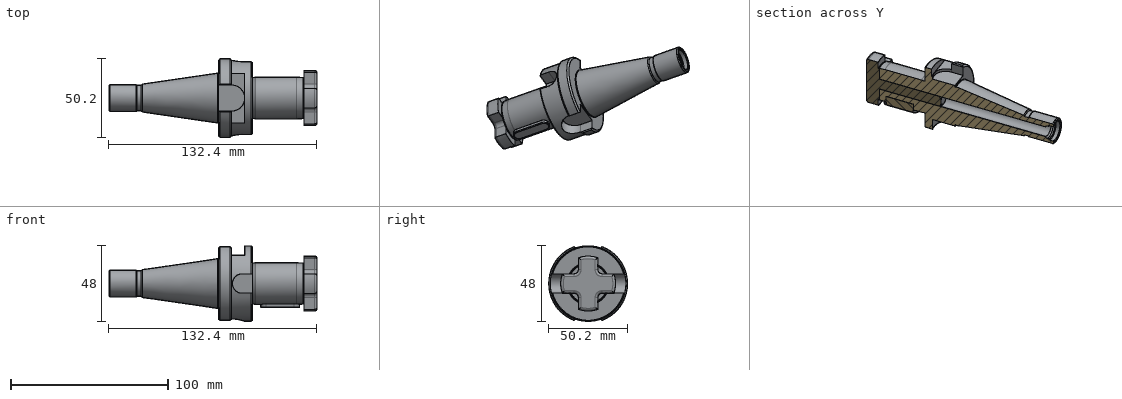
import cadquery as cq
import math


total_length = 132.4
neck_start = 17.3
taper_start = 21.2
taper_end = 69.0
flange_start = 69.6
flange_end = 78.0
collar_end = 91.1
spigot_lead_start = 119.2
spigot_end = 123.4
head_start = 123.9

shank_radius = 8.6
neck_radius = 8.2
taper_slope = 7 / 24
taper_radius = 15.9
gauge_groove_radius = 15.4
flange_radius = 50.2 / 2
collar_radius = 48.0 / 2
spigot_radius = 13.4
spigot_end_radius = 13.1
relief_radius = 13.1
edge_break = 0.7
flange_edge = flange_radius - collar_radius

relief_flat_end = 92.2
relief_end = 93.2

mouth_radius = 7.0
entry_radius = 6.5
throat_radius = 6.0
bore_radius = 5.0
entry_depth = 3.2
throat_start = 3.7
throat_end = 4.9
core_start = 6.0

drive_slot_width = 16.5
drive_slot_floor = 16.2
drive_slot_edge = 0.9
pocket_floor = 18.1
pocket_end = flange_end + drive_slot_width / 2

cutter_slot_width = 12.3
cutter_slot_start = 78.5
cutter_slot_floor = 14.0

key_start = 96.4
key_end = 121.3
key_width = 7.0
key_top = 8.5
key_bottom = 15.4
key_edge = 0.5

head_radius = 17.5
wing_width = 12.5
wing_corner_radius = 2.6
head_edge_radius = 1.7
boss_radius = 12.6
screw_end = 79.5
screw_end_chamfer = 1.2


def revolve_about_x(profile):
    """Solid of revolution from (x, radius) points, closed along the axis."""
    points = [(profile[0][0], 0), *profile, (profile[-1][0], 0)]
    return cq.Workplane("XY").polyline(points).close().revolve(360, (0, 0), (1, 0))


def arbor_blank():
    """Turned outside of the arbor: shank, taper, flange, collar and spigot."""
    taper_start_radius = taper_radius - taper_slope / 2 * (taper_end - taper_start)
    return revolve_about_x([
        (0, shank_radius - edge_break),
        (edge_break, shank_radius),
        (neck_start, shank_radius),
        (neck_start + shank_radius - neck_radius, neck_radius),
        (taper_start - edge_break, neck_radius),
        (taper_start, taper_start_radius),
        (taper_end, taper_radius),
        (taper_end, gauge_groove_radius),
        (flange_start, gauge_groove_radius),
        (flange_start, flange_radius - flange_edge),
        (flange_start + flange_edge, flange_radius),
        (flange_end - flange_edge, flange_radius),
        (flange_end, collar_radius),
        (collar_end - edge_break, collar_radius),
        (collar_end, collar_radius - edge_break),
        (collar_end, relief_radius),
        (relief_flat_end, relief_radius),
        (relief_end, spigot_radius),
        (spigot_lead_start, spigot_radius),
        (spigot_end, spigot_end_radius),
    ])


def arbor_bore():
    """Through bore with a wider stepped entry at the shank end."""
    mouth_depth = mouth_radius - entry_radius
    return revolve_about_x([
        (0, mouth_radius),
        (mouth_depth, entry_radius),
        (entry_depth, entry_radius),
        (throat_start, throat_radius),
        (throat_end, throat_radius),
        (core_start, bore_radius),
        (spigot_end, bore_radius),
    ])


def drive_slot():
    """Upper drive slot: round inner end and chamfered side edges at the rim."""
    half_width = drive_slot_width / 2
    slot = (
        cq.Workplane("XY", origin=(0, 0, drive_slot_floor))
        .moveTo(flange_start, -half_width)
        .lineTo(flange_end, -half_width)
        .threePointArc((pocket_end, 0), (flange_end, half_width))
        .lineTo(flange_start, half_width)
        .close()
        .extrude(flange_radius - drive_slot_floor)
    )
    rim_height = math.sqrt(flange_radius**2 - half_width**2)
    flare = flange_radius - rim_height + drive_slot_edge
    edge_prism = (
        cq.Workplane("YZ", origin=(flange_start, 0, 0))
        .moveTo(-half_width, rim_height - drive_slot_edge)
        .lineTo(half_width, rim_height - drive_slot_edge)
        .lineTo(half_width + flare, flange_radius)
        .lineTo(-half_width - flare, flange_radius)
        .close()
        .extrude(flange_end - flange_start)
    )
    return slot.union(edge_prism)


def pocket():
    """Flat pocket across the top of the collar, behind the flange."""
    return cq.Workplane("XY", origin=(flange_end, 0, pocket_floor)).box(
        pocket_end - flange_end,
        2 * collar_radius,
        collar_radius - pocket_floor,
        centered=(False, True, False),
    )


def cutter_slot():
    """Cutter slot on the -Y side of the collar, with a round inner end."""
    half_width = cutter_slot_width / 2
    return (
        cq.Workplane("XZ", origin=(0, -cutter_slot_floor, 0))
        .moveTo(collar_end, -half_width)
        .lineTo(cutter_slot_start + half_width, -half_width)
        .threePointArc((cutter_slot_start, 0), (cutter_slot_start + half_width, half_width))
        .lineTo(collar_end, half_width)
        .close()
        .extrude(flange_radius - cutter_slot_floor)
    )


def make_key():
    """Round-ended key standing out of the underside of the spigot."""
    return (
        cq.Workplane("XY", origin=((key_start + key_end) / 2, 0, -key_bottom))
        .slot2D(key_end - key_start, key_width)
        .extrude(key_bottom - key_top)
        .faces("<Z")
        .chamfer(key_edge)
    )


def make_arbor(key):
    """Tool arbor with its bore, flange slots, collar slots and keyway."""
    arbor = arbor_blank().cut(arbor_bore()).cut(pocket())
    for turn in (0, 180):
        arbor = arbor.cut(drive_slot().rotate((0, 0, 0), (1, 0, 0), turn))
        arbor = arbor.cut(cutter_slot().rotate((0, 0, 0), (1, 0, 0), turn))
    return arbor.cut(key)


def make_retaining_screw():
    """Screw with a four-winged head whose shank fills the front of the bore."""
    head_length = total_length - head_start
    head_plane = cq.Workplane("YZ", origin=(head_start, 0, 0))
    wing_span = 2 * head_radius
    head = (
        head_plane.rect(wing_span, wing_width)
        .extrude(head_length)
        .union(head_plane.rect(wing_width, wing_span).extrude(head_length))
        .intersect(head_plane.circle(head_radius).extrude(head_length))
    )
    hub_box = cq.selectors.BoxSelector(
        (head_start, -wing_width, -wing_width),
        (total_length, wing_width, wing_width),
    )
    head = head.edges("|X").edges(hub_box).fillet(wing_corner_radius)
    head = head.faces(">X").edges().fillet(head_edge_radius)
    shank = revolve_about_x([
        (screw_end, bore_radius - screw_end_chamfer),
        (screw_end + screw_end_chamfer, bore_radius),
        (spigot_end, bore_radius),
        (spigot_end, boss_radius),
        (head_start, boss_radius),
    ])
    return head.union(shank)


key = make_key()
arbor = make_arbor(key)
retaining_screw = make_retaining_screw()

result = cq.Compound.makeCompound([arbor.val(), key.val(), retaining_screw.val()])